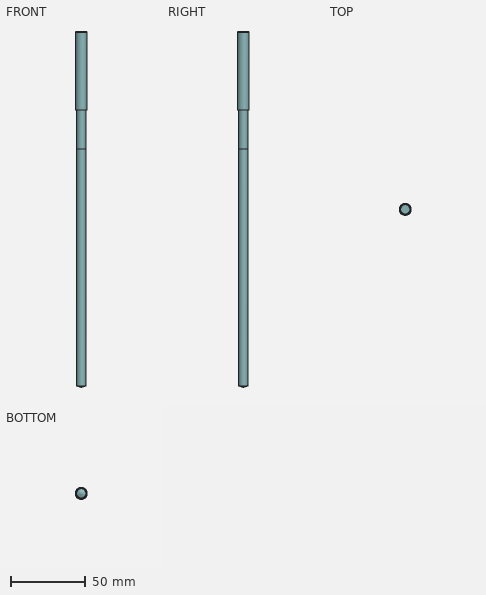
import cadquery as cq
import math

drill_diameter = 6.4
drill_radius = drill_diameter / 2
shank_diameter = 8.0
shank_radius = shank_diameter / 2
point_angle = 140.0
body_length = 238.0
shank_length = 53.0
neck_length = 26.0
shank_chamfer = 0.8

point_length = drill_radius / math.tan(math.radians(point_angle / 2))
shank_top = body_length
shank_bottom = shank_top - shank_length
neck_bottom = shank_bottom - neck_length


def revolve_about_z(profile):
    """Turn a (radius, height) outline about Z."""
    outline = [(-radius, height) for radius, height in profile]
    return cq.Workplane("YZ").polyline(outline).close().revolve(360, (0, 0), (0, 1))


def make_holder():
    """Chamfered clamping shank with the plain neck below it."""
    return revolve_about_z([
        (0, shank_top),
        (shank_radius - shank_chamfer, shank_top),
        (shank_radius, shank_top - shank_chamfer),
        (shank_radius, shank_bottom),
        (drill_radius, shank_bottom),
        (drill_radius, neck_bottom),
        (0, neck_bottom),
    ])


def make_cutter():
    """Plain cylindrical cutting length ending in the conical point."""
    return revolve_about_z([
        (0, neck_bottom),
        (drill_radius, neck_bottom),
        (drill_radius, 0),
        (0, -point_length),
    ])


holder = make_holder()
cutter = make_cutter()

result = cq.Compound.makeCompound([holder.val(), cutter.val()])